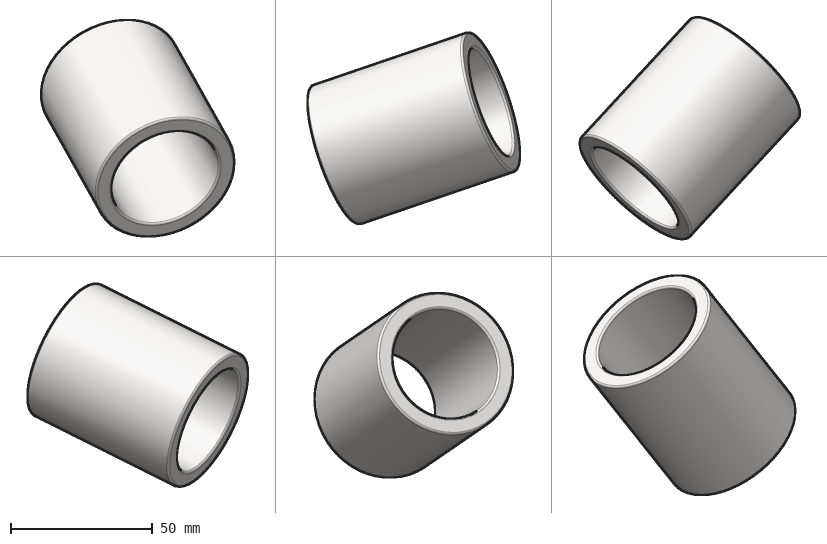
import cadquery as cq

length = 60.0
outer_diameter = 52.0
bore_diameter = 40.0
edge_radius = 0.8

sleeve = (
    cq.Workplane("YZ", origin=(-length / 2, 0, 0))
    .circle(outer_diameter / 2)
    .circle(bore_diameter / 2)
    .extrude(length)
)

result = sleeve.faces("<X or >X").edges().fillet(edge_radius)